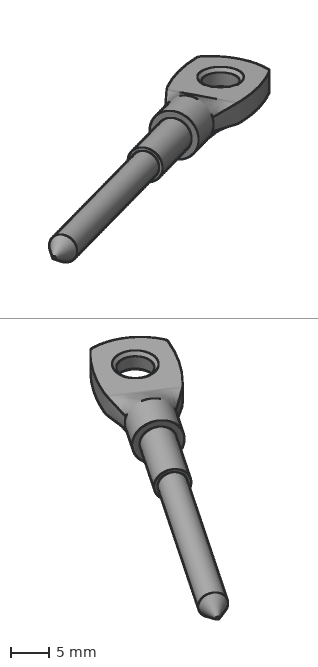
import cadquery as cq

TOTAL_LENGTH = 61.0

COLLAR_DIAMETER = 7.0
COLLAR_START = 16.4
COLLAR_END = 21.35
SHOULDER_DIAMETER = 5.0
SHOULDER_END = 30.9
ROD_DIAMETER = 4.0
CONE_START = 58.0
TIP_DIAMETER = 0.5

EYE_WIDTH = 11.45
EYE_THICKNESS = 3.1
EYE_CORNER_WIDTH = 10.25
EYE_CORNER_RADIUS = 1.0
CROWN_HEIGHT = 1.5
EYE_END = 12.0
EYE_MIDDLE = (CROWN_HEIGHT + EYE_END) / 2

NECK_BLEND_RADIUS = 7.0

HOLE_STATION = 6.0
HOLE_DIAMETER = 5.0
COUNTERSINK_DIAMETER = 6.1
COUNTERSINK_DEPTH = (COUNTERSINK_DIAMETER - HOLE_DIAMETER) / 2


def y_at(station):
    """Y position of a station measured back from the crown of the eye."""
    return TOTAL_LENGTH - station


def make_shank():
    """Collar, shoulder, rod and pointed tip, revolved about the Y axis."""
    profile = (
        cq.Workplane("YZ")
        .moveTo(y_at(COLLAR_START), 0)
        .lineTo(y_at(COLLAR_START), COLLAR_DIAMETER / 2)
        .lineTo(y_at(COLLAR_END), COLLAR_DIAMETER / 2)
        .lineTo(y_at(COLLAR_END), SHOULDER_DIAMETER / 2)
        .lineTo(y_at(SHOULDER_END), SHOULDER_DIAMETER / 2)
        .lineTo(y_at(SHOULDER_END), ROD_DIAMETER / 2)
        .lineTo(y_at(CONE_START), ROD_DIAMETER / 2)
        .lineTo(y_at(TOTAL_LENGTH), TIP_DIAMETER / 2)
        .lineTo(y_at(TOTAL_LENGTH), 0)
        .close()
    )
    return profile.revolve(360, (0, 0), (1, 0))


def make_eye():
    """Flat plate with bowed sides and a domed crown."""
    corner_x = EYE_CORNER_WIDTH / 2
    side_x = EYE_WIDTH / 2
    plate = (
        cq.Workplane("XY")
        .moveTo(-corner_x, y_at(EYE_END))
        .lineTo(corner_x, y_at(EYE_END))
        .threePointArc((side_x, y_at(EYE_MIDDLE)), (corner_x, y_at(CROWN_HEIGHT)))
        .threePointArc((0, y_at(0)), (-corner_x, y_at(CROWN_HEIGHT)))
        .threePointArc((-side_x, y_at(EYE_MIDDLE)), (-corner_x, y_at(EYE_END)))
        .close()
        .extrude(EYE_THICKNESS / 2, both=True)
    )
    return plate.edges("|Z").edges(">Y").fillet(EYE_CORNER_RADIUS)


def make_neck():
    """Loft from the rectangular end of the eye to the round collar."""
    return (
        cq.Workplane("XZ", origin=(0, y_at(EYE_END), 0))
        .rect(EYE_CORNER_WIDTH, EYE_THICKNESS)
        .workplane(offset=COLLAR_START - EYE_END)
        .circle(COLLAR_DIAMETER / 2)
        .loft(ruled=True)
    )


def make_head():
    """Eye and neck joined, with the shallow side edges between them rounded."""
    head = make_eye().union(make_neck())
    return head.edges("|Z").edges("<Y").fillet(NECK_BLEND_RADIUS)


def make_hole_cutter():
    """Through hole with a conical countersink opening at each face."""
    face_z = EYE_THICKNESS / 2
    sink_z = face_z - COUNTERSINK_DEPTH
    hole_radius = HOLE_DIAMETER / 2
    sink_radius = COUNTERSINK_DIAMETER / 2
    return (
        cq.Workplane("XZ")
        .polyline([
            (0, -face_z),
            (sink_radius, -face_z),
            (hole_radius, -sink_z),
            (hole_radius, sink_z),
            (sink_radius, face_z),
            (0, face_z),
        ])
        .close()
        .revolve(360, (0, 0), (0, 1))
        .translate((0, y_at(HOLE_STATION), 0))
    )


result = make_head().union(make_shank()).cut(make_hole_cutter())